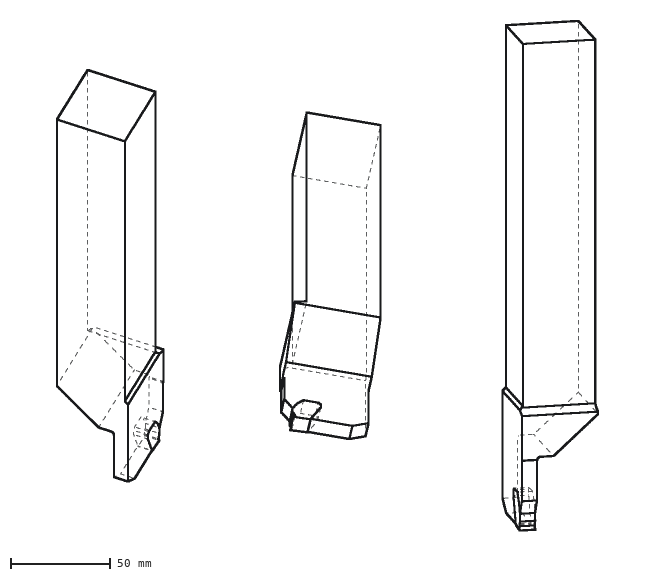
import cadquery as cq
import math

LENGTH = 254.0
SHANK_WIDTH = 37.5
SHANK_DEPTH = 38.0
HEAD_WIDTH = 39.4
HEAD_DEPTH = 44.2

SIDE_STEP_TOP = 64.8
SIDE_STEP_BOTTOM = 63.0
BEVEL_TOP = 60.0
BEVEL_END_X = 23.0
LEDGE_Z = 39.4
ROOT_RADIUS = 1.5
HEAD_BOTTOM = LEDGE_Z - ROOT_RADIUS
SHOULDER_TOP = 64.0
SHOULDER_EDGE_Z = 61.2
SHOULDER_SAG = 0.5

BLADE_THICKNESS = 8.0
BLADE_X = HEAD_WIDTH - BLADE_THICKNESS
BLADE_DEPTH = 43.5
BLADE_BOTTOM = 1.3
FRONT_CHAMFER_Y = 8.5
FRONT_CHAMFER_Z = 6.9
NOSE_TOP = 16.5
NOSE_END_Y = 39.0
NOSE_END_Z = 9.0
RELIEF_Y = 35.3

INSERT_TIP = (38.9, 0.0)
INSERT_HEEL = (30.0, 0.8)
INSERT_SIDE = (24.6, 14.5)
INSERT_TOP_Z = 18.8
INSERT_CORNER = 1.3
INSERT_TOP_Y = 33.5
INSERT_SHOULDER = (36.8, 14.2)
INSERT_FACE_TOP = (39.0, 7.0)
INSERT_FACE_BOTTOM = (39.0, 4.8)
INSERT_RAKE = (37.8, 2.0)

FLARE_START = (34.5, 0.8)
FLARE_END = INSERT_FACE_TOP
FLARE_WIDTH = 0.3
FLARE_REACH = 5.0


def prism(points, x_start, x_size):
    """Extrude a (Y, Z) outline along X."""
    return cq.Workplane("YZ").workplane(offset=x_start).polyline(points).close().extrude(x_size)


def shank_and_head():
    """Shank, bevelled head and blade root: the X profile and the Y profile intersected."""
    root_x = BLADE_X - ROOT_RADIUS
    root_middle = (
        root_x + ROOT_RADIUS * math.sin(math.pi / 4),
        HEAD_BOTTOM + ROOT_RADIUS * math.cos(math.pi / 4),
    )
    x_profile = (
        cq.Workplane("XZ")
        .moveTo(0, LENGTH)
        .lineTo(SHANK_WIDTH, LENGTH)
        .lineTo(SHANK_WIDTH, SIDE_STEP_TOP)
        .lineTo(HEAD_WIDTH, SIDE_STEP_BOTTOM)
        .lineTo(HEAD_WIDTH, HEAD_BOTTOM)
        .lineTo(BLADE_X, HEAD_BOTTOM)
        .threePointArc(root_middle, (root_x, LEDGE_Z))
        .lineTo(BEVEL_END_X, LEDGE_Z)
        .lineTo(0, BEVEL_TOP)
        .close()
        .extrude(-HEAD_DEPTH)
    )
    shoulder_middle = (
        (SHANK_DEPTH + HEAD_DEPTH) / 2,
        (SHOULDER_TOP + SHOULDER_EDGE_Z) / 2 - SHOULDER_SAG,
    )
    y_profile = (
        cq.Workplane("YZ")
        .moveTo(0, HEAD_BOTTOM)
        .lineTo(HEAD_DEPTH, HEAD_BOTTOM)
        .lineTo(HEAD_DEPTH, SHOULDER_EDGE_Z)
        .threePointArc(shoulder_middle, (SHANK_DEPTH, SHOULDER_TOP))
        .lineTo(SHANK_DEPTH, LENGTH)
        .lineTo(0, LENGTH)
        .close()
        .extrude(HEAD_WIDTH)
    )
    return x_profile.intersect(y_profile)


def blade():
    return prism([
        (0, HEAD_BOTTOM),
        (BLADE_DEPTH, HEAD_BOTTOM),
        (BLADE_DEPTH, NOSE_TOP),
        (NOSE_END_Y, NOSE_END_Z),
        INSERT_FACE_TOP,
        (RELIEF_Y, BLADE_BOTTOM),
        (FRONT_CHAMFER_Y, BLADE_BOTTOM),
        (0, FRONT_CHAMFER_Z),
    ], BLADE_X, BLADE_THICKNESS)


def insert_outline():
    side_y = INSERT_SIDE[0]
    return [
        INSERT_TIP,
        INSERT_HEEL,
        INSERT_SIDE,
        (side_y, INSERT_TOP_Z - INSERT_CORNER),
        (side_y + INSERT_CORNER, INSERT_TOP_Z),
        (INSERT_TOP_Y, INSERT_TOP_Z),
        INSERT_SHOULDER,
        (NOSE_END_Y, NOSE_END_Z),
        INSERT_FACE_TOP,
        INSERT_FACE_BOTTOM,
        INSERT_RAKE,
    ]


def tip_flare():
    """Wedge on the -X side of the insert, kept within the insert outline."""
    run_y = FLARE_END[0] - FLARE_START[0]
    run_z = FLARE_END[1] - FLARE_START[1]
    hinge = cq.Plane(
        origin=(BLADE_X, FLARE_START[0], FLARE_START[1]),
        xDir=(-1, 0, 0),
        normal=(0, run_y, run_z),
    )
    hinge_length = math.hypot(run_y, run_z)
    wedge = (
        cq.Workplane(hinge)
        .workplane(offset=-hinge_length)
        .polyline([(0, 0), (0, -FLARE_REACH), (FLARE_WIDTH, -FLARE_REACH)])
        .close()
        .extrude(3 * hinge_length)
    )
    return wedge.intersect(prism(insert_outline(), BLADE_X - FLARE_WIDTH, FLARE_WIDTH))


def cutting_insert():
    return prism(insert_outline(), BLADE_X, BLADE_THICKNESS).union(tip_flare())


insert = cutting_insert()
holder = shank_and_head().union(blade()).cut(insert)

result = cq.Compound.makeCompound([holder.val(), insert.val()])